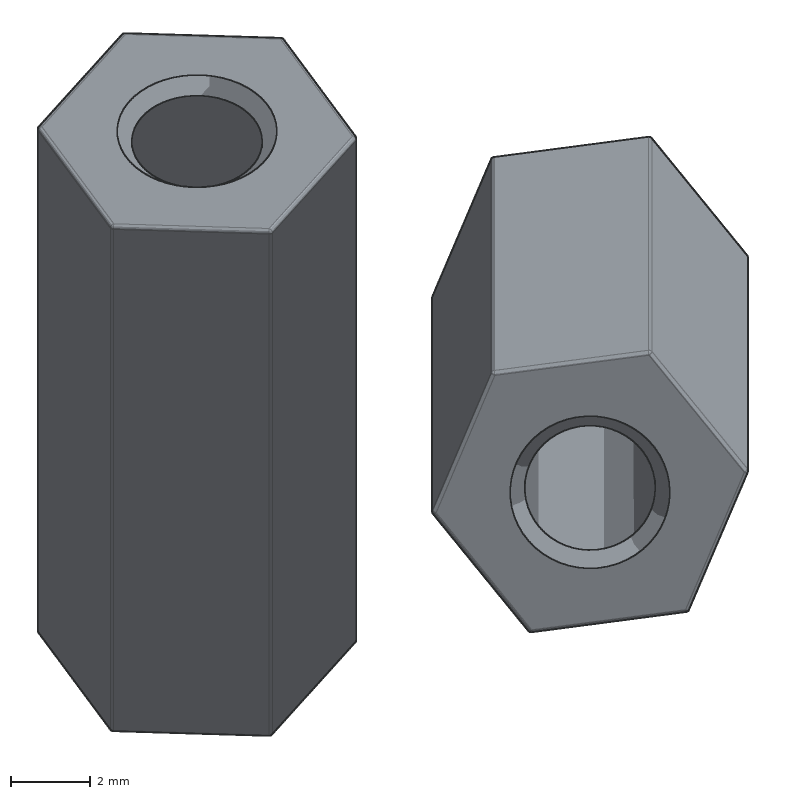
import cadquery as cq
import math

length = 18.0
across_flats = 7.0
edge_radius = 0.1

hole_diameter = 3.3
countersink_diameter = 4.03
countersink_depth = (countersink_diameter - hole_diameter) / 2

across_corners = across_flats / math.cos(math.radians(30))
body = (
    cq.Workplane("XY")
    .polygon(6, across_corners)
    .extrude(length)
    .edges()
    .fillet(edge_radius)
)

hole_radius = hole_diameter / 2
countersink_radius = countersink_diameter / 2
bore = (
    cq.Workplane("XZ")
    .moveTo(0, 0)
    .lineTo(countersink_radius, 0)
    .lineTo(hole_radius, countersink_depth)
    .lineTo(hole_radius, length - countersink_depth)
    .lineTo(countersink_radius, length)
    .lineTo(0, length)
    .close()
    .revolve(360, (0, 0, 0), (0, 1, 0))
)

result = body.cut(bore)